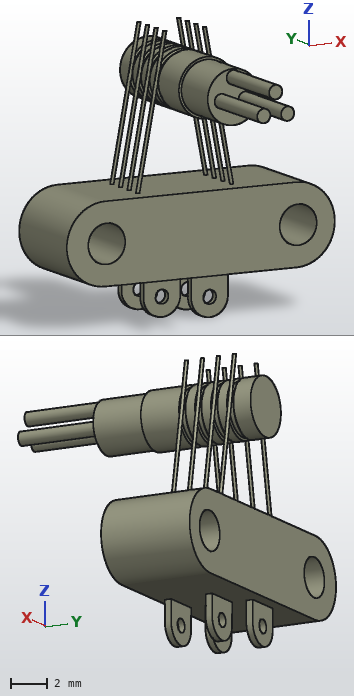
import cadquery as cq


BASE_LENGTH = 16.8
BASE_HEIGHT = 4.8
BASE_DEPTH = 5.6
MOUNT_HOLE_DIAMETER = 2.32
MOUNT_HOLE_SPACING = 12.0
MOUNT_HOLE_OFFSET = 0.1

AXIS_X = -0.34

TERMINAL_COUNT = 4
TERMINAL_WIDTH = 2.3
TERMINAL_THICKNESS = 0.4
TERMINAL_DROP = 2.42
TERMINAL_HOLE_DIAMETER = 0.8
TERMINAL_PITCH = 1.3
FIRST_TERMINAL_Y = -1.02

SHAFT_RADIUS = 1.75
SHAFT_LENGTH = 6.92
NECK_RADIUS = 1.6
NECK_END = 10.01
LEAD_END = 15.0
LEAD_DIAMETER = 0.82
UPPER_LEAD_RISE = 1.11
LOWER_LEAD_DROP = 0.17
LOWER_LEAD_SPACING = 1.5
SHAFT_HEIGHT = 6.1
SHAFT_Z = BASE_HEIGHT / 2 + SHAFT_HEIGHT

GROOVE_MOUTH = 0.4
GROOVE_FLOOR = 0.29
GROOVE_DEPTH = 0.15

WIRE_PAIRS = 4
WIRE_DIAMETER = 0.2
WIRE_PITCH = 1.0
FIRST_WIRE_Y = -1.3
WIRE_RISE = 8.97
WIRE_FOOT_OFFSET = 2.94
WIRE_TIP_OFFSET = 1.25


def front_plane(x, y, z):
    """Sketch plane with X right and Z up that extrudes toward -Y."""
    return cq.Workplane(cq.Plane(origin=(x, y, z), xDir=(1, 0, 0), normal=(0, -1, 0)))


def wire_y(pair):
    return FIRST_WIRE_Y - pair * WIRE_PITCH


def make_base_bar():
    bar = front_plane(0, 0, 0).slot2D(BASE_LENGTH, BASE_HEIGHT).extrude(BASE_DEPTH)
    holes = (
        front_plane(MOUNT_HOLE_OFFSET, 0, 0)
        .rarray(MOUNT_HOLE_SPACING, 0.17, 2, 1)
        .circle(MOUNT_HOLE_DIAMETER / 2)
        .extrude(BASE_DEPTH)
    )
    return bar.cut(holes)


def make_terminal(index):
    """Tab number `index` from the back; even ones lie on the -X side, odd ones on the +X side."""
    radius = TERMINAL_WIDTH / 2
    side = -1 if index % 2 == 0 else 1
    back_y = FIRST_TERMINAL_Y - index * TERMINAL_PITCH + TERMINAL_THICKNESS / 2
    straight = TERMINAL_DROP - radius
    return (
        front_plane(AXIS_X + side * radius, back_y, -BASE_HEIGHT / 2)
        .moveTo(-radius, 0)
        .lineTo(-radius, -straight)
        .threePointArc((0, -TERMINAL_DROP), (radius, -straight))
        .lineTo(radius, 0)
        .close()
        .moveTo(0, -straight)
        .circle(TERMINAL_HOLE_DIAMETER / 2)
        .extrude(TERMINAL_THICKNESS)
    )


def make_wire(pair, side):
    """One slanted round wire, cut level at its tip and rooted inside the base."""
    foot = cq.Vector(AXIS_X + side * WIRE_FOOT_OFFSET, wire_y(pair), BASE_HEIGHT / 2)
    tip = cq.Vector(AXIS_X + side * WIRE_TIP_OFFSET, wire_y(pair), BASE_HEIGHT / 2 + WIRE_RISE)
    direction = (tip - foot).normalized()
    overrun = direction * WIRE_DIAMETER
    length = (tip - foot).Length + 2 * WIRE_DIAMETER
    rod = cq.Solid.makeCylinder(WIRE_DIAMETER / 2, length, foot - overrun, direction)
    above_tip = (
        cq.Workplane("XY", origin=tip.toTuple())
        .rect(4 * WIRE_DIAMETER, 4 * WIRE_DIAMETER)
        .extrude(2 * WIRE_DIAMETER)
    )
    return cq.Workplane(rod).cut(above_tip)


def make_base():
    base = make_base_bar()
    for index in range(TERMINAL_COUNT):
        base = base.union(make_terminal(index))
    for pair in range(WIRE_PAIRS):
        for side in (-1, 1):
            base = base.union(make_wire(pair, side))
    return base


def make_groove(pair):
    """Ring with a trapezoid section, wide at the shaft surface and narrow at the floor."""
    half_mouth = GROOVE_MOUTH / 2
    half_floor = GROOVE_FLOOR / 2
    floor_radius = SHAFT_RADIUS - GROOVE_DEPTH
    return (
        cq.Workplane("XY", origin=(AXIS_X, wire_y(pair), SHAFT_Z))
        .polyline([
            (floor_radius, -half_floor),
            (SHAFT_RADIUS, -half_mouth),
            (SHAFT_RADIUS, half_mouth),
            (floor_radius, half_floor),
        ])
        .close()
        .revolve(360, (0, 0, 0), (0, 1, 0))
    )


def make_shaft():
    shaft = front_plane(AXIS_X, 0, SHAFT_Z).circle(SHAFT_RADIUS).extrude(SHAFT_LENGTH)
    for pair in range(WIRE_PAIRS):
        shaft = shaft.cut(make_groove(pair))
    neck = (
        front_plane(AXIS_X, -SHAFT_LENGTH, SHAFT_Z)
        .circle(NECK_RADIUS)
        .extrude(NECK_END - SHAFT_LENGTH)
    )
    leads = (
        front_plane(AXIS_X, -NECK_END, SHAFT_Z)
        .pushPoints([
            (0, UPPER_LEAD_RISE),
            (-LOWER_LEAD_SPACING / 2, -LOWER_LEAD_DROP),
            (LOWER_LEAD_SPACING / 2, -LOWER_LEAD_DROP),
        ])
        .circle(LEAD_DIAMETER / 2)
        .extrude(LEAD_END - NECK_END)
    )
    return shaft.union(neck).union(leads)


base = make_base()
shaft = make_shaft()

result = cq.Compound.makeCompound([base.solids().val(), shaft.solids().val()])